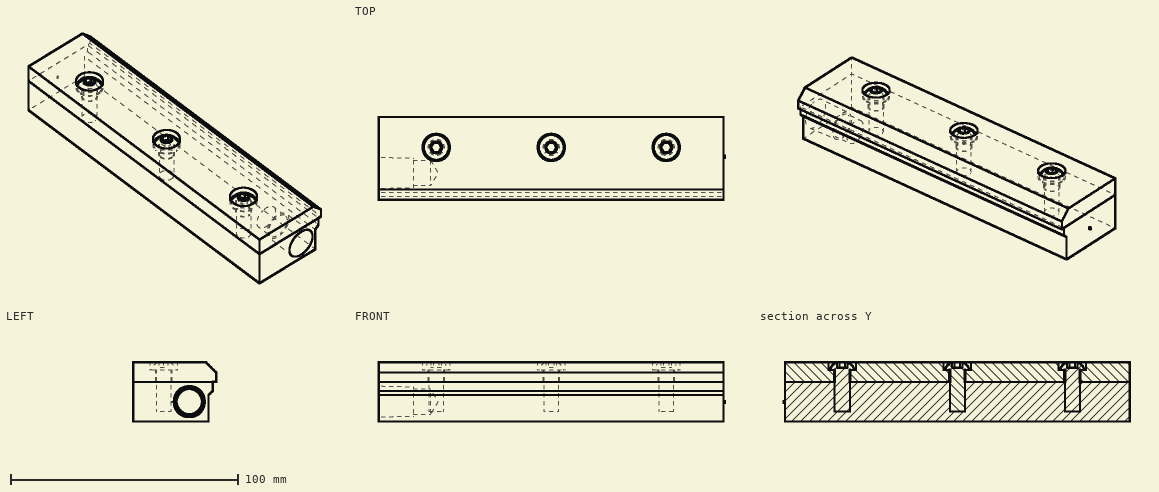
import cadquery as cq
import math

OVERALL_LENGTH = 152.4
PIP_LENGTH = 0.5
LENGTH = OVERALL_LENGTH - PIP_LENGTH
DEPTH = 36.5
HEIGHT = 26.2
SPLIT_Z = 17.5
COVER_BEVEL = 4.5

LIP_SETBACK = 1.5
LIP_BEVEL = 1.8
LIP_BOTTOM_Z = 13.5

PIP_DIAMETER = 0.9
PIP_Y = 19.0
PIP_Z = SPLIT_Z / 2

PORT_Y = 11.9
PORT_Z = 8.8
PORT_MOUTH_DIAMETER = 13.7
PORT_DRILL_DIAMETER = 11.1
PORT_TAPER_END_DIAMETER = 13.0
PORT_TAPER_LENGTH = 15.2
PORT_DEPTH = 22.9
DRILL_POINT_ANGLE = 118.0

SCREW_COUNT = 3
SCREW_PITCH = LENGTH / SCREW_COUNT
SCREW_Y = 23.2
COUNTERBORE_DIAMETER = 12.0
COUNTERBORE_DEPTH = 3.4
CLEARANCE_DIAMETER = 7.2
HEAD_DIAMETER = 11.0
HEAD_HEIGHT = COUNTERBORE_DEPTH
HEAD_FLAT_DIAMETER = 5.2
SHANK_DIAMETER = 6.4
SHANK_BOTTOM_Z = 4.5
SOCKET_ACROSS_FLATS = 4.0
SOCKET_DEPTH = 2.5
SOCKET_TURN = 30.0

SEAT_Z = HEIGHT - COUNTERBORE_DEPTH
SCREW_XS = [SCREW_PITCH * (i + 0.5) for i in range(SCREW_COUNT)]


def vertical_cylinder(x, diameter, bottom_z, top_z):
    """Cylinder on a screw axis, between two heights."""
    return (
        cq.Workplane("XY", origin=(x, SCREW_Y, bottom_z))
        .circle(diameter / 2)
        .extrude(top_z - bottom_z)
    )


def extrude_profile(points):
    """Extrude a closed (Y, Z) outline over the full length."""
    return cq.Workplane("YZ").polyline(points).close().extrude(LENGTH)


def make_port():
    """Tapered bore with a drilled, conical end, entering from the X = 0 face."""
    mouth = PORT_MOUTH_DIAMETER / 2
    taper_end = PORT_TAPER_END_DIAMETER / 2
    drill = PORT_DRILL_DIAMETER / 2
    tip_length = drill / math.tan(math.radians(DRILL_POINT_ANGLE / 2))
    outline = [
        (0, 0),
        (0, mouth),
        (PORT_TAPER_LENGTH, taper_end),
        (PORT_TAPER_LENGTH, drill),
        (PORT_DEPTH, drill),
        (PORT_DEPTH + tip_length, 0),
    ]
    return (
        cq.Workplane("XY")
        .polyline(outline)
        .close()
        .revolve(360, (0, 0, 0), (1, 0, 0))
        .translate((0, PORT_Y, PORT_Z))
    )


def make_pip():
    """Small round pip standing out from the far end face."""
    return (
        cq.Workplane("YZ", origin=(LENGTH, PIP_Y, PIP_Z))
        .circle(PIP_DIAMETER / 2)
        .extrude(PIP_LENGTH)
    )


def make_base():
    lower_front_y = LIP_SETBACK + LIP_BEVEL
    base = extrude_profile([
        (lower_front_y, 0),
        (DEPTH, 0),
        (DEPTH, SPLIT_Z),
        (LIP_SETBACK, SPLIT_Z),
        (LIP_SETBACK, LIP_BOTTOM_Z),
        (lower_front_y, LIP_BOTTOM_Z - LIP_BEVEL),
    ])
    base = base.cut(make_port()).union(make_pip())
    for x in SCREW_XS:
        base = base.cut(vertical_cylinder(x, SHANK_DIAMETER, SHANK_BOTTOM_Z, SPLIT_Z))
    return base


def make_cover():
    cover = extrude_profile([
        (0, SPLIT_Z),
        (DEPTH, SPLIT_Z),
        (DEPTH, HEIGHT),
        (COVER_BEVEL, HEIGHT),
        (0, HEIGHT - COVER_BEVEL),
    ])
    for x in SCREW_XS:
        cover = cover.cut(vertical_cylinder(x, CLEARANCE_DIAMETER, SPLIT_Z, SEAT_Z))
        cover = cover.cut(vertical_cylinder(x, COUNTERBORE_DIAMETER, SEAT_Z, HEIGHT))
    return cover


def make_screw(x):
    """Button-head screw: domed head with a hexagonal socket, plain shank."""
    rim = HEAD_DIAMETER / 2
    flat = HEAD_FLAT_DIAMETER / 2
    centre_z = (HEAD_HEIGHT**2 + flat**2 - rim**2) / (2 * HEAD_HEIGHT)
    radius = math.hypot(rim, centre_z)
    mid_r = (rim + flat) / 2
    mid_z = centre_z + math.sqrt(radius**2 - mid_r**2)
    head = (
        cq.Workplane("XZ")
        .moveTo(0, 0)
        .lineTo(rim, 0)
        .threePointArc((mid_r, mid_z), (flat, HEAD_HEIGHT))
        .lineTo(0, HEAD_HEIGHT)
        .close()
        .revolve(360, (0, 0, 0), (0, 1, 0))
        .translate((x, SCREW_Y, SEAT_Z))
    )
    head_top_z = SEAT_Z + HEAD_HEIGHT
    socket = (
        cq.Workplane("XY", origin=(x, SCREW_Y, head_top_z))
        .polygon(6, SOCKET_ACROSS_FLATS, circumscribed=True)
        .extrude(-SOCKET_DEPTH)
        .rotate((x, SCREW_Y, 0), (x, SCREW_Y, 1), SOCKET_TURN)
    )
    shank = vertical_cylinder(x, SHANK_DIAMETER, SHANK_BOTTOM_Z, SEAT_Z)
    return head.union(shank).cut(socket)


base = make_base()
cover = make_cover()
screws = [make_screw(x) for x in SCREW_XS]

result = cq.Compound.makeCompound([base.val(), cover.val(), *[screw.val() for screw in screws]])